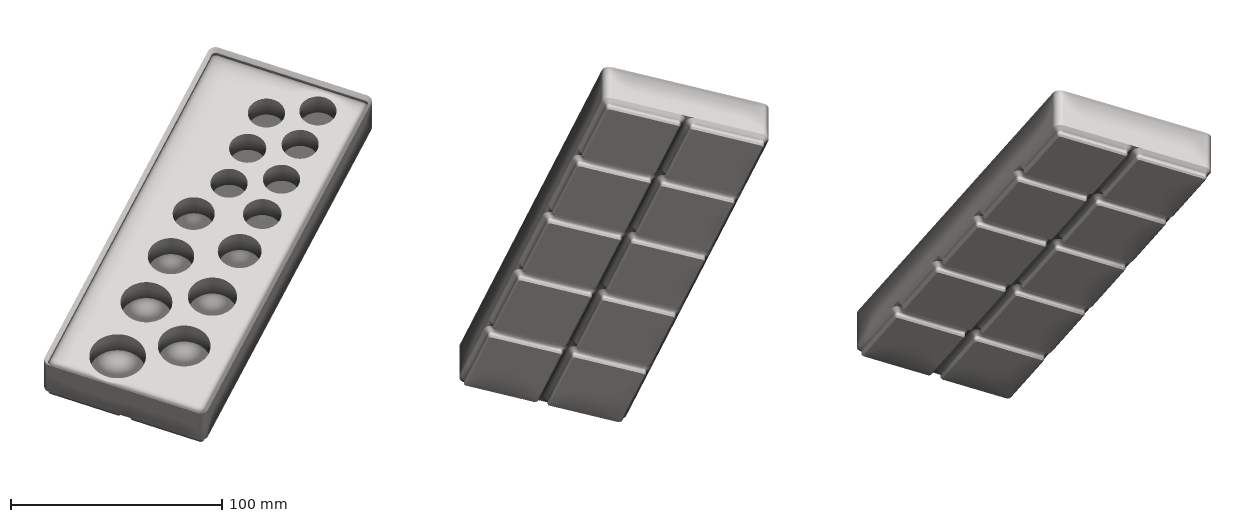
import cadquery as cq

length = 209.5
height = 24.7
cells_x = 2
cells_y = 5
cell_gap = 0.5
cell_pitch = (length + cell_gap) / cells_y
width = cells_x * cell_pitch - cell_gap
body_radius = 3.8

foot_low_chamfer = 0.8
foot_wall = 1.8
foot_high_chamfer = 2.0
foot_height = foot_low_chamfer + foot_wall + foot_high_chamfer
foot_size = cell_pitch - cell_gap
foot_overlap = 2.0

rim_slope = 1.9
rim_wall = 1.9
floor_z = height - rim_slope - rim_wall

hole_depth = 12.0
small_hole = 17.5
right_hole_edge_x = 27.9
right_holes = [
    (89.9, small_hole),
    (67.9, small_hole),
    (44.8, small_hole),
    (21.8, 18.2),
    (-3.1, 20.7),
    (-33.7, 23.3),
    (-66.6, 25.0),
]
left_small_x = -3.0
left_small_holes = [
    (79.5, small_hole),
    (56.1, small_hole),
    (33.0, small_hole),
]
left_large_x = -11.3
left_large_holes = [
    (9.6, 20.0),
    (-18.5, 22.0),
    (-48.8, 24.5),
    (-84.5, 26.8),
]


def rounded_prism(size_x, size_y, radius, bottom, top):
    """Upright block with rounded vertical edges, centred on X and Y."""
    block = cq.Workplane("XY").workplane(offset=bottom).rect(size_x, size_y).extrude(top - bottom)
    return block.edges("|Z").fillet(radius)


def make_foot():
    """One foot: a chamfered pad under a wider chamfered shoulder."""
    pad_size = foot_size - 2 * foot_high_chamfer
    pad_radius = body_radius - foot_high_chamfer
    pad = rounded_prism(pad_size, pad_size, pad_radius, 0, foot_height)
    pad = pad.faces("<Z").chamfer(foot_low_chamfer)
    shoulder_z = foot_height - foot_high_chamfer
    shoulder = rounded_prism(foot_size, foot_size, body_radius, shoulder_z, foot_height + foot_overlap)
    shoulder = shoulder.faces("<Z").chamfer(foot_high_chamfer)
    return pad.union(shoulder)


def make_recess():
    """Cutter for the stacking recess, widening to the rim."""
    inner_x = width - 2 * rim_slope
    inner_y = length - 2 * rim_slope
    recess = rounded_prism(inner_x, inner_y, body_radius - rim_slope, floor_z, height)
    slope = rounded_prism(width, length, body_radius, height - rim_slope, height + rim_slope)
    slope = slope.faces("<Z").chamfer(rim_slope)
    return recess.union(slope)


def make_hole(x, y, diameter):
    """Cutter for one flat-bottomed socket hole."""
    hole = cq.Workplane("XY").workplane(offset=floor_z - hole_depth)
    return hole.center(x, y).circle(diameter / 2).extrude(hole_depth)


def make_all_holes():
    """Cutters for every socket hole."""
    holes = []
    for y, diameter in right_holes:
        holes.append(make_hole(right_hole_edge_x - diameter / 2, y, diameter))
    for y, diameter in left_small_holes:
        holes.append(make_hole(left_small_x, y, diameter))
    for y, diameter in left_large_holes:
        holes.append(make_hole(left_large_x, y, diameter))
    return holes


result = rounded_prism(width, length, body_radius, foot_height, height)

foot = make_foot()
for column in range(cells_x):
    for row in range(cells_y):
        foot_x = (column - (cells_x - 1) / 2) * cell_pitch
        foot_y = (row - (cells_y - 1) / 2) * cell_pitch
        result = result.union(foot.translate((foot_x, foot_y, 0)))

result = result.cut(make_recess())
for hole in make_all_holes():
    result = result.cut(hole)